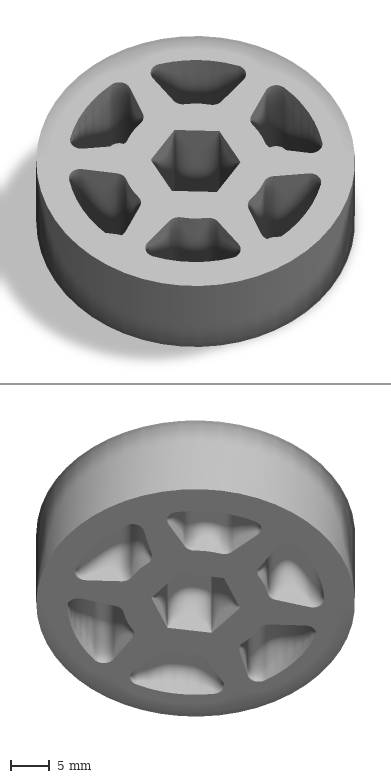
import cadquery as cq
import math

wheel_diameter = 41.25
wheel_width = 12.7

hex_across_flats = 10.05
hex_corner_diameter = hex_across_flats / math.cos(math.radians(30))

window_count = 6
window_inner_radius = 9.5
window_outer_radius = 16.67
window_corner_radius = 1.5
wedge_apex_radius = 5.8
wedge_half_angle = 37.2
window_twist = 0.5


def make_wheel():
    return cq.Workplane("XY").circle(wheel_diameter / 2).extrude(wheel_width)


def make_hex_bore():
    return (
        cq.Workplane("XY")
        .polygon(6, hex_corner_diameter)
        .extrude(wheel_width)
        .rotate((0, 0, 0), (0, 0, 1), 30)
    )


def wedge_side_point(radius):
    """Point where the upper straight side of the window crosses a circle about the axis."""
    half_angle = math.radians(wedge_half_angle)
    apex_to_axis = wedge_apex_radius * math.sin(half_angle)
    distance = math.sqrt(radius**2 - apex_to_axis**2) - wedge_apex_radius * math.cos(half_angle)
    return wedge_apex_radius + distance * math.cos(half_angle), distance * math.sin(half_angle)


def make_window():
    """Rounded window centred on the +X direction."""
    inner_x, inner_y = wedge_side_point(window_inner_radius)
    outer_x, outer_y = wedge_side_point(window_outer_radius)
    return (
        cq.Workplane("XY")
        .moveTo(inner_x, -inner_y)
        .lineTo(outer_x, -outer_y)
        .threePointArc((window_outer_radius, 0), (outer_x, outer_y))
        .lineTo(inner_x, inner_y)
        .threePointArc((window_inner_radius, 0), (inner_x, -inner_y))
        .close()
        .extrude(wheel_width)
        .edges("|Z")
        .fillet(window_corner_radius)
    )


result = make_wheel().cut(make_hex_bore())
window = make_window()
for index in range(window_count):
    angle = window_twist + index * 360 / window_count
    result = result.cut(window.rotate((0, 0, 0), (0, 0, 1), angle))